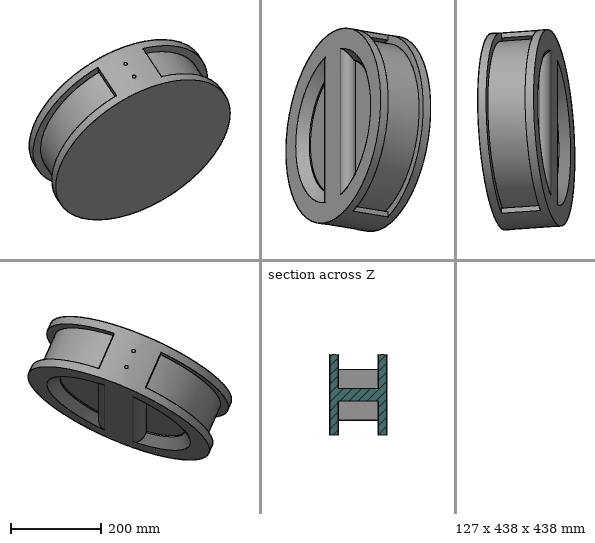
import cadquery as cq

outer_diameter = 438.0
body_length = 127.0
outer_radius = outer_diameter / 2
front_face_x = -body_length / 2

flange_thickness = 19.3
groove_width = body_length - 2 * flange_thickness
hub_radius = 200.0
lug_width = 113.0
lug_underside_z = 199.7

recess_mouth_radius = 173.0
recess_floor_radius = 150.5
taper_depth = 22.0
step_depth = 3.0
recess_depth = taper_depth + step_depth

bar_width = lug_width
bar_edge_radius = 22.0

pin_spot_diameter = 8.0
pin_spot_spacing = 40.5
pin_spot_depth = 0.5
pin_spot_center_x = 1.0


def cylinder_along_x(radius, start_x, length):
    return cq.Workplane("YZ", origin=(start_x, 0, 0)).circle(radius).extrude(length)


def make_lug(side):
    """Rim-high block bridging the groove; its flat underside touches the hub only near the middle."""
    lug_height = outer_radius - lug_underside_z
    center_z = side * (lug_underside_z + lug_height / 2)
    block = cq.Workplane("XY", origin=(0, 0, center_z)).box(groove_width, lug_width, lug_height)
    return block.intersect(cylinder_along_x(outer_radius, front_face_x, body_length))


def make_grooved_body():
    drum = cylinder_along_x(outer_radius, front_face_x, body_length)
    groove = (
        cq.Workplane("YZ", origin=(-groove_width / 2, 0, 0))
        .circle(outer_radius)
        .circle(hub_radius)
        .extrude(groove_width)
    )
    lugs = make_lug(1).union(make_lug(-1))
    return drum.cut(groove.cut(lugs))


def make_recess():
    """Recess volume, revolved about X, with the bar removed from it."""
    taper_end_x = front_face_x + taper_depth
    floor_x = front_face_x + recess_depth
    bowl = (
        cq.Workplane("XY")
        .moveTo(front_face_x, 0)
        .lineTo(front_face_x, recess_mouth_radius)
        .lineTo(taper_end_x, recess_floor_radius)
        .lineTo(floor_x, recess_floor_radius)
        .lineTo(floor_x, 0)
        .close()
        .revolve(360, (0, 0, 0), (1, 0, 0))
    )
    bar = (
        cq.Workplane("XY")
        .box(body_length, bar_width, outer_diameter)
        .faces("<X")
        .edges("|Z")
        .fillet(bar_edge_radius)
    )
    return bowl.cut(bar)


def make_pin_spots():
    half_spacing = pin_spot_spacing / 2
    return (
        cq.Workplane("XY", origin=(pin_spot_center_x, 0, outer_radius - pin_spot_depth))
        .pushPoints([(-half_spacing, 0), (half_spacing, 0)])
        .circle(pin_spot_diameter / 2)
        .extrude(pin_spot_depth)
    )


result = make_grooved_body().cut(make_recess()).cut(make_pin_spots())